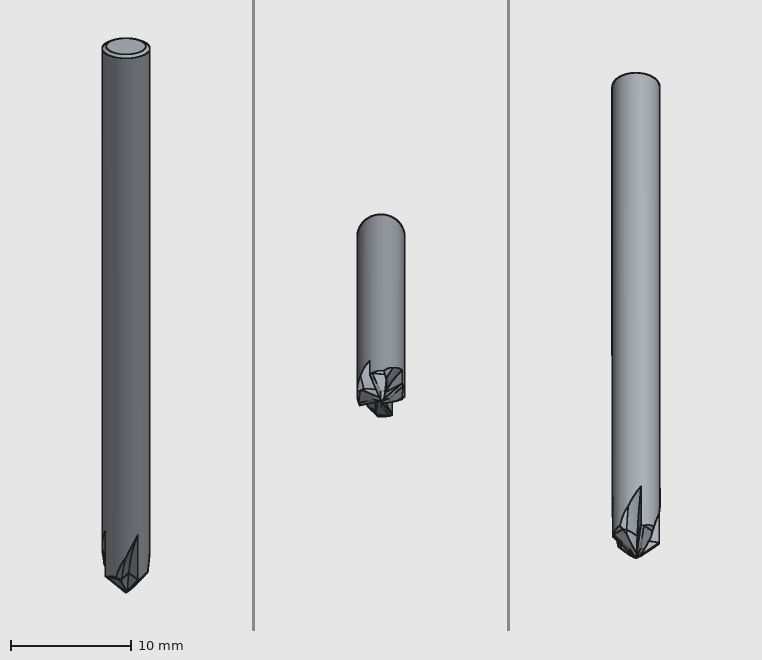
import cadquery as cq

tool_diameter = 4.0
tool_length = 50.0
tool_radius = tool_diameter / 2
outside = tool_radius + 1.0

point_height = tool_radius
bevel_width = 0.35
bevel_height = 0.2

flute_count = 4
flute_pitch = 360 / flute_count
flute_runout_height = 6.1
flute_root = 0.27
flute_depth = tool_radius - flute_root
wheel_radius = (flute_runout_height**2 + flute_depth**2) / (2 * flute_depth)
wheel_axis_y = -flute_root - wheel_radius
floor_width = 1.03
heel_step = 0.66
floor_bulge = 0.05

land_width = 0.25
land_slope = 0.10
relief_slope = 0.70


def make_blank():
    """Round bar with a conical point and a bevelled shank end."""
    return (
        cq.Workplane("YZ")
        .lineTo(-tool_radius, point_height)
        .lineTo(-tool_radius, tool_length - bevel_height)
        .lineTo(bevel_width - tool_radius, tool_length)
        .lineTo(0, tool_length)
        .close()
        .revolve(360, (0, 0), (0, 1))
    )


def make_flute_wheel():
    """Wheel that leaves a radial wall on X = 0, a floor and a shallower heel."""
    root_y = -flute_root
    heel_y = root_y - heel_step
    floor_middle = (-floor_width / 2, (root_y + heel_y) / 2 - floor_bulge)
    return (
        cq.Workplane("XY")
        .moveTo(0, wheel_axis_y)
        .lineTo(0, root_y)
        .threePointArc(floor_middle, (-floor_width, heel_y))
        .lineTo(-outside, heel_y)
        .lineTo(-outside, wheel_axis_y)
        .close()
        .revolve(360, (0, wheel_axis_y), (1, wheel_axis_y))
    )


def make_clearance():
    """Space below the land and the steeper relief, both running along a 45 degree cutting edge."""
    land_rise = land_slope * land_width
    relief_rise = relief_slope * (tool_radius - land_width)
    section = [
        (0, 0),
        (land_width, land_rise),
        (tool_radius, land_rise + relief_rise),
        (tool_radius, -outside),
        (0, -outside),
    ]
    corners = [cq.Vector(x, 0, z) for x, z in section]
    face = cq.Face.makeFromWires(cq.Wire.makePolygon(corners, close=True))
    along_edge = cq.Vector(0, -outside, outside)
    return cq.Workplane(cq.Solid.extrudeLinear(face, along_edge))


def around_axis(shape, index):
    """Copy of a shape turned to the given flute."""
    return shape.rotate((0, 0, 0), (0, 0, 1), index * flute_pitch)


tool = make_blank()
flute_wheel = make_flute_wheel()
clearance = make_clearance()
for index in range(flute_count):
    tool = tool.cut(around_axis(flute_wheel, index), clean=False)
    tool = tool.cut(around_axis(clearance, index), clean=False)

point_zone = cq.Workplane("XY").box(2 * outside, 2 * outside, point_height, centered=(True, True, False))
body = tool.cut(point_zone, clean=False)

quadrant = cq.Workplane("XY").box(outside, outside, point_height, centered=False)
tips = [tool.intersect(around_axis(quadrant, index), clean=False) for index in range(flute_count)]

result = cq.Compound.makeCompound([body.solids().val(), *[tip.solids().val() for tip in tips]])